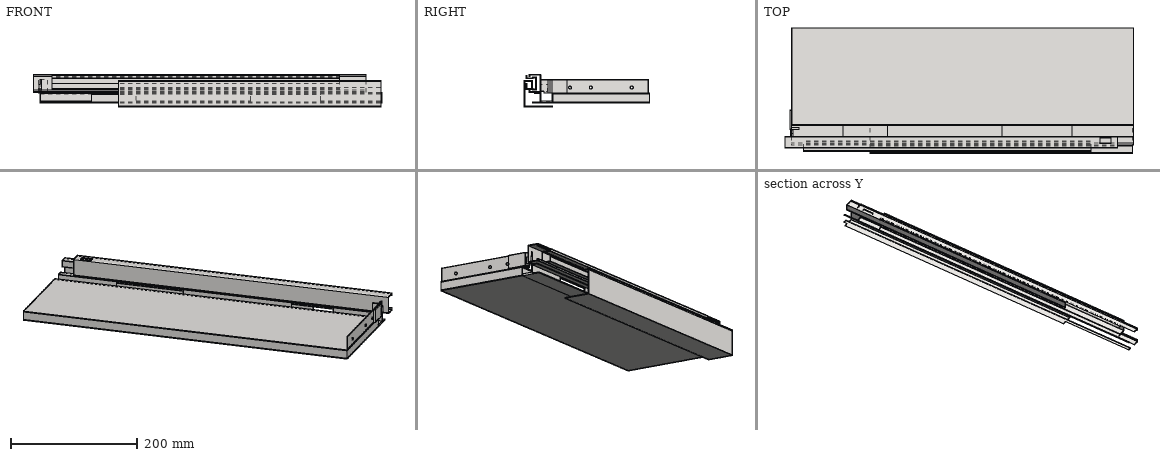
import cadquery as cq


full_length = 551.5
half_width = 198.5
full_height = 52.0
rail_gauge = 1.4
plate_gauge = 1.4

bracket_start, bracket_end = 134.5, 550.0
bracket_foot_width = 45.0
bracket_height = 42.0
bracket_hook_width = 13.0
bracket_hook_bottom = 31.0

drawer_rail_length = 526.0
drawer_rail_face = 27.0
drawer_rail_front = 8.0
drawer_rail_bottom = 23.0
drawer_lip_height = 4.0
bend_radius = 2.0
slot_start, slot_length = 498.0, 17.5
slot_near, slot_far = 15.5, 24.0

middle_start, middle_end = 29.0, 484.0
middle_back = 20.0
middle_front = 3.5
middle_step = 13.0
middle_top, middle_bottom = 47.5, 27.0
flange_step = 1.0
upper_lip_top = 49.5
lower_lip_top = 37.0

tray_start = 10.5
tray_side = 44.0
tray_bottom, tray_top = 6.5, 22.0

ledge_front = 13.0
ledge_height = 1.5
floor_height = 3.5
cap_front = 16.5
window_spans = [(92.0, 162.0), (343.0, 454.5)]
window_top = 20.0

back_top = 43.5
back_edge = 197.0
back_gauge = 1.0
hole_diameter = 4.5
hole_height = 31.0
hole_positions = [73.0, 106.0, 170.5]
corner_gauge = 3.0
corner_near, corner_far = 38.0, 68.5
corner_flange_end = 22.0
hook_gauge = 2.0
hook_bottom_start = 31.5
hook_bottom_step = 25.0
tongue_gauge = 1.5
tongue_far = 37.0
tongue_top = 36.0


def block(x_range, y_range, z_range):
    """Axis-aligned box between two limits on each axis."""
    size = [high - low for low, high in (x_range, y_range, z_range)]
    return cq.Workplane("XY").box(*size, centered=False).translate((x_range[0], y_range[0], z_range[0]))


def folded_sheet(path, gauge, x_start, x_end):
    """Right-angled sheet section along X; path lists the (Y, Z) mid-line corners.

    Every leg reaches half a gauge past its end points so that the corners fill.
    """
    half = gauge / 2
    sheet = None
    for (y1, z1), (y2, z2) in zip(path, path[1:]):
        y_range = (min(y1, y2) - half, max(y1, y2) + half)
        z_range = (min(z1, z2) - half, max(z1, z2) + half)
        leg = block((x_start, x_end), y_range, z_range)
        sheet = leg if sheet is None else sheet.union(leg)
    return sheet.clean()


def make_cabinet_bracket():
    half = plate_gauge / 2
    hook_y = bracket_hook_width - half
    top_z = bracket_height - half
    path = [
        (bracket_foot_width - half, half),
        (half, half),
        (half, top_z),
        (hook_y, top_z),
        (hook_y, bracket_hook_bottom + half),
    ]
    return folded_sheet(path, plate_gauge, bracket_start, bracket_end)


def make_drawer_rail():
    half = rail_gauge / 2
    lip_y = drawer_rail_front + half
    web_y = drawer_rail_face - half
    top_z = full_height - half
    bottom_z = drawer_rail_bottom + half
    lip_reach = drawer_lip_height - rail_gauge
    path = [
        (lip_y, top_z - lip_reach),
        (lip_y, top_z),
        (web_y, top_z),
        (web_y, bottom_z),
        (lip_y, bottom_z),
        (lip_y, bottom_z + lip_reach),
    ]
    rail = folded_sheet(path, rail_gauge, 0, drawer_rail_length)
    rail = rail.faces(">Y").edges("|X").fillet(bend_radius)
    slot = block(
        (slot_start, slot_start + slot_length),
        (slot_near, slot_far),
        (full_height - rail_gauge, full_height),
    )
    return rail.cut(slot)


def make_middle_rail():
    half = rail_gauge / 2
    lip_y = middle_front + half
    step_y = middle_step + half
    web_y = middle_back - half
    top_z = middle_top - half
    bottom_z = middle_bottom + half
    path = [
        (lip_y, upper_lip_top - half),
        (lip_y, top_z - flange_step),
        (step_y, top_z - flange_step),
        (step_y, top_z),
        (web_y, top_z),
        (web_y, bottom_z),
        (step_y, bottom_z),
        (step_y, bottom_z + flange_step),
        (lip_y, bottom_z + flange_step),
        (lip_y, lower_lip_top - half),
    ]
    return folded_sheet(path, rail_gauge, middle_start, middle_end)


def make_tray():
    """Sheet channel that opens towards the mid-plane and holds the board."""
    half = plate_gauge / 2
    wall_y = tray_side + half
    path = [
        (half_width - half, tray_bottom + half),
        (wall_y, tray_bottom + half),
        (wall_y, tray_top - half),
        (half_width - half, tray_top - half),
    ]
    return folded_sheet(path, plate_gauge, tray_start, full_length)


def make_board():
    """Board that fills the tray channel."""
    return block(
        (tray_start, full_length),
        (tray_side + plate_gauge, half_width),
        (tray_bottom + plate_gauge, tray_top - plate_gauge),
    )


def make_side_profile():
    """Floor and wall carrying the drawer rail, with windows through the wall."""
    x_range = (tray_start, full_length)
    wall_inner = drawer_rail_face - rail_gauge
    ledge_top = tray_bottom + ledge_height
    floor_top = tray_bottom + floor_height
    ledge = block(x_range, (ledge_front, tray_side), (tray_bottom, ledge_top))
    floor = block(x_range, (wall_inner, tray_side), (tray_bottom, floor_top))
    wall = block(x_range, (wall_inner, drawer_rail_face), (tray_bottom, drawer_rail_bottom))
    cap = block(
        x_range,
        (cap_front, drawer_rail_face),
        (drawer_rail_bottom - rail_gauge, drawer_rail_bottom),
    )
    profile = ledge.union(floor).union(wall).union(cap)
    for span in window_spans:
        profile = profile.cut(block(span, (wall_inner, tray_side), (ledge_top, window_top)))
    return profile


def make_back_plate():
    x_range = (tray_start, tray_start + back_gauge)
    plate = block(x_range, (tray_side, back_edge), (tray_top, back_top))
    for y in hole_positions:
        hole = (
            cq.Workplane("YZ", origin=(tray_start, y, hole_height))
            .circle(hole_diameter / 2)
            .extrude(back_gauge)
        )
        plate = plate.cut(hole)
    return plate


def make_corner_bracket():
    """Angle outside the back plate, with a stepped hook reaching to the drawer rail."""
    z_range = (tray_top, back_top)
    x_start = tray_start - corner_gauge
    face = block((x_start, tray_start), (corner_near, corner_far), z_range)
    flange = block((x_start, corner_flange_end), (corner_near, corner_near + corner_gauge), z_range)

    hook_range = (tray_start, tray_start + hook_gauge)
    plate = block(hook_range, (drawer_rail_face, corner_near), (hook_bottom_step, back_top))
    foot = block(hook_range, (hook_bottom_start, corner_near), (tray_top, hook_bottom_step))
    tongue = block(
        (tray_start - tongue_gauge, tray_start),
        (drawer_rail_face, tongue_far),
        (hook_bottom_step, tongue_top),
    )
    return face.union(flange).union(plate).union(foot).union(tongue)


cabinet_bracket = make_cabinet_bracket()
middle_rail = make_middle_rail()
drawer_rail = make_drawer_rail()
side_profile = make_side_profile()
tray = make_tray()
board = make_board()
back_plate = make_back_plate()
corner_bracket = make_corner_bracket()

result = cq.Compound.makeCompound([
    cabinet_bracket.val(),
    middle_rail.val(),
    drawer_rail.val(),
    side_profile.val(),
    tray.val(),
    board.val(),
    back_plate.val(),
    corner_bracket.val(),
])